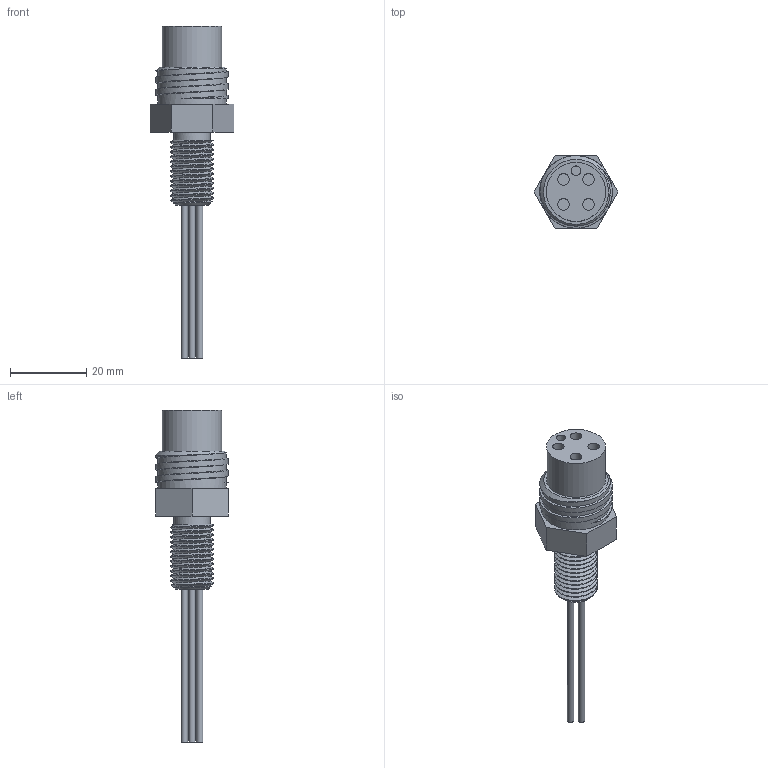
import cadquery as cq
import math

hex_height = 7.3
collar_height = 9.7
face_height = 10.8
neck_height = 2.1
stud_length = 19.2
wire_length = 40.0

collar_base = hex_height
collar_top = collar_base + collar_height
face_top = collar_top + face_height
stud_end = -stud_length

hex_across_flats = 19.0
hex_across_corners = hex_across_flats / math.cos(math.pi / 6)

insert_diameter = 15.5
socket_diameter = 3.0
socket_pitch = 6.55
key_hole_diameter = 2.5
key_hole_offset = 5.55
socket_depth = 10.0

collar_root_diameter = 17.9
collar_crest_diameter = 19.0
collar_tip_diameter = 17.0
collar_pitch = 3.175
collar_thread_base = 1.75
collar_thread_crest = 1.45
collar_relief = 1.5
collar_thread_phase = 0.07

stud_root_diameter = 9.5
stud_crest_diameter = 11.2
stud_tip_diameter = 8.7
stud_pitch = 1.27
stud_thread_base = 1.1
stud_thread_crest = 0.2
stud_thread_phase = 0.65

wire_diameter = 1.7
wire_offset = 2.0
wire_count = 4

embed = 0.05

ridge_overrun_turns = 2
core_overrun_turns = 4

trim_clearance = 1.0


def cylinder(diameter, bottom, top):
    return cq.Workplane("XY").workplane(offset=bottom).circle(diameter / 2).extrude(top - bottom)


def threaded_rod(root_diameter, crest_diameter, base_width, crest_width, pitch, bottom, top, phase):
    """Rod with a right-handed thread; both overrun bottom and top, ready for trimming.

    A thread crest crosses the +X side at a height of bottom + phase.
    """
    start = bottom + phase - ridge_overrun_turns * pitch
    turns = math.ceil((top - start) / pitch + ridge_overrun_turns)
    root_radius = root_diameter / 2
    crest_radius = crest_diameter / 2
    inner_radius = root_radius - embed
    flank_slope = (base_width - crest_width) / (crest_diameter - root_diameter)
    inner_half_width = base_width / 2 + flank_slope * embed
    path = cq.Wire.makeHelix(pitch, turns * pitch, root_radius).translate(cq.Vector(0, 0, start))
    profile = cq.Workplane("XZ").polyline([
        (inner_radius, start - inner_half_width),
        (crest_radius, start - crest_width / 2),
        (crest_radius, start + crest_width / 2),
        (inner_radius, start + inner_half_width),
    ]).close()
    ridge = profile.sweep(cq.Workplane(path), isFrenet=True)
    overrun = core_overrun_turns * pitch
    return cylinder(root_diameter, bottom - overrun, top + overrun).union(ridge)


def trim_blank(crest_diameter, tip_diameter, bottom, top, tip_face):
    """Cylinder that clears the thread crests, with a 45 degree chamfer down to the tip diameter."""
    blank_diameter = crest_diameter + 2 * trim_clearance
    chamfer = (blank_diameter - tip_diameter) / 2
    return cylinder(blank_diameter, bottom, top).faces(tip_face).chamfer(chamfer)


def make_hex_flange():
    return cq.Workplane("XY").polygon(6, hex_across_corners).extrude(hex_height)


def make_collar():
    thread_bottom = collar_base + collar_relief
    relief = cylinder(collar_root_diameter, collar_base, thread_bottom)
    threaded = threaded_rod(
        collar_root_diameter, collar_crest_diameter, collar_thread_base, collar_thread_crest,
        collar_pitch, thread_bottom, collar_top, collar_thread_phase,
    )
    trim = trim_blank(collar_crest_diameter, collar_tip_diameter, thread_bottom, collar_top, ">Z")
    return relief.union(threaded.intersect(trim))


def make_stud():
    thread_top = -neck_height
    neck = cylinder(stud_root_diameter, thread_top, 0)
    threaded = threaded_rod(
        stud_root_diameter, stud_crest_diameter, stud_thread_base, stud_thread_crest,
        stud_pitch, stud_end, thread_top, stud_thread_phase,
    )
    trim = trim_blank(stud_crest_diameter, stud_tip_diameter, stud_end, thread_top, "<Z")
    return neck.union(threaded.intersect(trim))


def make_wires():
    return (
        cq.Workplane("XY").workplane(offset=stud_end)
        .polarArray(wire_offset, 0, 360, wire_count)
        .circle(wire_diameter / 2)
        .extrude(-wire_length)
    )


def make_holes():
    plane = cq.Workplane("XY").workplane(offset=face_top)
    sockets = (
        plane.rarray(socket_pitch, socket_pitch, 2, 2)
        .circle(socket_diameter / 2)
        .extrude(-socket_depth)
    )
    key_hole = plane.center(0, key_hole_offset).circle(key_hole_diameter / 2).extrude(-socket_depth)
    return sockets.union(key_hole)


insert = cylinder(insert_diameter, collar_top, face_top)

result = (
    make_hex_flange()
    .union(make_collar())
    .union(make_stud())
    .union(insert)
    .union(make_wires())
    .cut(make_holes())
)